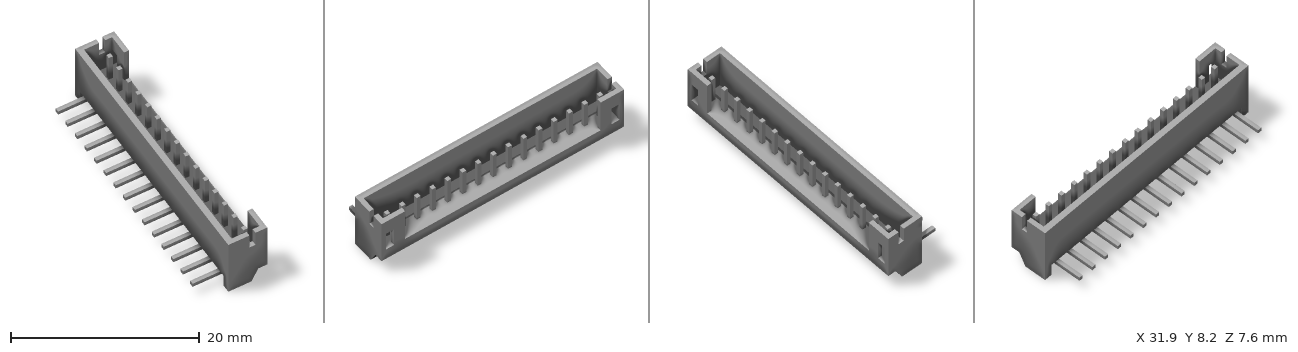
import cadquery as cq

pin_count = 15
pin_pitch = 2.0
end_margin = 1.95
housing_length = (pin_count - 1) * pin_pitch + 2 * end_margin
housing_depth = 4.8
housing_height = 7.6
back_y = housing_depth / 2
front_y = -housing_depth / 2

leg_height = 1.6
leg_width = 1.0
leg_back_inset_top = 1.1
leg_back_inset_foot = 1.95

end_wall = 0.6
back_wall = 0.6
front_wall = 0.75
cavity_length = housing_length - 2 * end_wall
cavity_front_y = front_y + front_wall
cavity_back_y = back_y - back_wall
floor_thickness = 0.8
shelf_back_inset = 2.2
ramp_run = 0.7
ramp_top_y = back_y - shelf_back_inset
ramp_foot_y = ramp_top_y - ramp_run
front_floor_z = leg_height + floor_thickness
back_floor_z = front_floor_z + ramp_run

back_lip_length = 3.1
slot_width = 0.75
slot_depth = 1.95
slot_back_inset = 1.45
slot_floor_z = housing_height - slot_depth
window_width = 1.05

pin_size = 0.5
pin_tip_recess = 1.0
pin_tip_z = housing_height - pin_tip_recess
pin_back_inset = 1.45
tail_length = 3.4


def box_between(x_range, y_range, z_range):
    """Axis-aligned box spanning the given (low, high) ranges."""
    low, high = zip(x_range, y_range, z_range)
    size = [end - start for start, end in zip(low, high)]
    return cq.Workplane("XY").box(*size, centered=False).translate(low)


def extrude_side_profile(points, length):
    """Extrude a closed (Y, Z) outline along X, centred on X = 0."""
    return cq.Workplane("YZ").polyline(points).close().extrude(length / 2, both=True)


def make_housing_block():
    profile = [
        (front_y, 0),
        (back_y - leg_back_inset_foot, 0),
        (back_y - leg_back_inset_top, leg_height),
        (back_y, leg_height),
        (back_y, housing_height),
        (front_y, housing_height),
    ]
    block = extrude_side_profile(profile, housing_length)
    half_gap = housing_length / 2 - leg_width
    gap_between_legs = box_between((-half_gap, half_gap), (front_y, back_y), (0, leg_height))
    return block.cut(gap_between_legs)


def make_cavity():
    profile = [
        (cavity_front_y, front_floor_z),
        (ramp_foot_y, front_floor_z),
        (ramp_top_y, back_floor_z),
        (cavity_back_y, back_floor_z),
        (cavity_back_y, housing_height),
        (cavity_front_y, housing_height),
    ]
    return extrude_side_profile(profile, cavity_length)


def make_back_opening():
    half_opening = housing_length / 2 - back_lip_length
    return box_between(
        (-half_opening, half_opening),
        (cavity_back_y, back_y),
        (back_floor_z, housing_height),
    )


def make_end_slots():
    slot_back_y = back_y - slot_back_inset
    return box_between(
        (-housing_length / 2, housing_length / 2),
        (slot_back_y - slot_width, slot_back_y),
        (slot_floor_z, housing_height),
    )


def make_lip_window(side):
    """Window through the back lip at one end; side is -1 or +1 along X."""
    end_wall_x = side * cavity_length / 2
    inner_x = end_wall_x - side * window_width
    x_range = sorted((inner_x, end_wall_x))
    return box_between(x_range, (cavity_back_y, back_y), (back_floor_z, slot_floor_z))


def make_pin(center_x):
    x_range = (center_x - pin_size / 2, center_x + pin_size / 2)
    post_back_y = back_y - pin_back_inset
    tail_bottom_z = leg_height - pin_size
    post = box_between(x_range, (post_back_y - pin_size, post_back_y), (tail_bottom_z, pin_tip_z))
    tail = box_between(x_range, (front_y - tail_length, post_back_y), (tail_bottom_z, leg_height))
    return post.union(tail)


result = make_housing_block().cut(make_cavity()).cut(make_back_opening()).cut(make_end_slots())
for end_side in (-1, 1):
    result = result.cut(make_lip_window(end_side))
for index in range(pin_count):
    result = result.union(make_pin((index - (pin_count - 1) / 2) * pin_pitch))